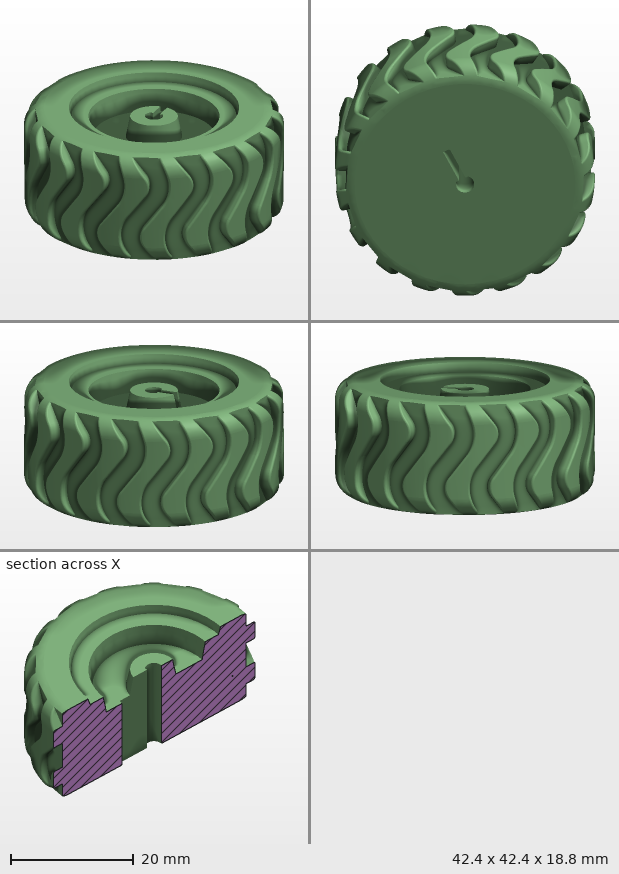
import cadquery as cq
import math

TYRE_RADIUS = 21.21
TYRE_WIDTH = 18.8
SHOULDER_RADIUS = 3.2

RIM_TOP_RADIUS = 13.9
RIM_FLOOR_RADIUS = 13.45
RIM_DEPTH = 1.5
WELL_TOP_RADIUS = 10.7
WELL_FLOOR_RADIUS = 10.03
WELL_DEPTH = 3.6

HUB_TOP_RADIUS = 3.9
HUB_BASE_RADIUS = 4.6

BORE_RADIUS = 1.5
BORE_FLAT_OFFSET = 1.0
KEY_SLOT_WIDTH = 1.2
KEY_SLOT_END = 6.75

GROOVE_COUNT = 18
GROOVE_FLOOR_OFFSET = 19.27
GROOVE_WIDTH = 3.15
GROOVE_SLANT = math.radians(37.5)
GROOVE_BEND_HEIGHT = 4.5
GROOVE_INNER_BEND_RADIUS = 2.7
GROOVE_EDGE_RADIUS = 0.35
GROOVE_OVERRUN = 1.0
FLOOR_END_CLEARANCE = 0.1

top_z = TYRE_WIDTH / 2
rim_floor_z = top_z - RIM_DEPTH
well_floor_z = rim_floor_z - WELL_DEPTH


def make_tyre():
    """Plain tyre blank with rounded shoulders, centred on the origin."""
    return (
        cq.Workplane("XY")
        .circle(TYRE_RADIUS)
        .extrude(top_z, both=True)
        .edges()
        .fillet(SHOULDER_RADIUS)
    )


def make_dish():
    """Volume removed from the upper face: rim recess and well, leaving the hub."""
    return (
        cq.Workplane("XZ")
        .moveTo(0, top_z)
        .lineTo(RIM_TOP_RADIUS, top_z)
        .lineTo(RIM_FLOOR_RADIUS, rim_floor_z)
        .lineTo(WELL_TOP_RADIUS, rim_floor_z)
        .lineTo(WELL_FLOOR_RADIUS, well_floor_z)
        .lineTo(HUB_BASE_RADIUS, well_floor_z)
        .lineTo(HUB_TOP_RADIUS, rim_floor_z)
        .lineTo(0, rim_floor_z)
        .close()
        .revolve(360, (0, 0, 0), (0, 1, 0))
    )


def make_bore():
    """D-shaped bore and key slot through the full width."""
    flat_half_width = math.sqrt(BORE_RADIUS**2 - BORE_FLAT_OFFSET**2)
    bore = (
        cq.Workplane("XY")
        .moveTo(-flat_half_width, BORE_FLAT_OFFSET)
        .threePointArc((0, -BORE_RADIUS), (flat_half_width, BORE_FLAT_OFFSET))
        .close()
        .extrude(top_z, both=True)
    )
    key_slot = (
        cq.Workplane("XY")
        .center(0, KEY_SLOT_END / 2)
        .rect(KEY_SLOT_WIDTH, KEY_SLOT_END)
        .extrude(top_z, both=True)
    )
    return bore.union(key_slot)


def make_groove_path():
    """S-shaped centreline on the XZ plane, with half-turn symmetry about the origin."""
    bend_radius = GROOVE_INNER_BEND_RADIUS + GROOVE_WIDTH / 2
    slant_sin = math.sin(GROOVE_SLANT)
    slant_cos = math.cos(GROOVE_SLANT)
    bend_centre_x = (GROOVE_BEND_HEIGHT * slant_sin - bend_radius) / slant_cos
    tangent_x = bend_centre_x + bend_radius * slant_cos
    peak_x = bend_centre_x + bend_radius
    inner_z = GROOVE_BEND_HEIGHT - bend_radius * slant_sin
    outer_z = GROOVE_BEND_HEIGHT + bend_radius * slant_sin
    end_z = top_z + GROOVE_OVERRUN
    end_x = tangent_x - (end_z - outer_z) * math.tan(GROOVE_SLANT)
    return (
        cq.Workplane("XZ")
        .moveTo(end_x, end_z)
        .lineTo(tangent_x, outer_z)
        .threePointArc((peak_x, GROOVE_BEND_HEIGHT), (tangent_x, inner_z))
        .lineTo(-tangent_x, -inner_z)
        .threePointArc((-peak_x, -GROOVE_BEND_HEIGHT), (-tangent_x, -outer_z))
        .lineTo(-end_x, -end_z)
    )


def make_channel():
    """S-shaped channel at -Y, with walls running outward from a flat floor."""
    return (
        make_groove_path()
        .offset2D(GROOVE_WIDTH / 2)
        .extrude(TYRE_RADIUS)
        .translate((0, -GROOVE_FLOOR_OFFSET, 0))
    )


def cut_tread(tyre):
    """Cut the ring of channels and round the edges where their walls meet the tread."""
    channel = make_channel()
    for index in range(GROOVE_COUNT):
        angle = index * 360 / GROOVE_COUNT
        tyre = tyre.cut(channel.rotate((0, 0, 0), (0, 0, 1), angle))

    floor_end_z = top_z - SHOULDER_RADIUS + math.sqrt(
        SHOULDER_RADIUS**2 - (GROOVE_FLOOR_OFFSET - TYRE_RADIUS + SHOULDER_RADIUS) ** 2
    )
    between_floor_ends = cq.selectors.BoxSelector(
        (-TYRE_RADIUS, -TYRE_RADIUS, FLOOR_END_CLEARANCE - floor_end_z),
        (TYRE_RADIUS, TYRE_RADIUS, floor_end_z - FLOOR_END_CLEARANCE),
    )
    wall_tops = tyre.edges("%ELLIPSE or %BSPLINE").edges(between_floor_ends)
    return wall_tops.fillet(GROOVE_EDGE_RADIUS)


treaded_tyre = cut_tread(make_tyre())
result = treaded_tyre.cut(make_dish()).cut(make_bore())